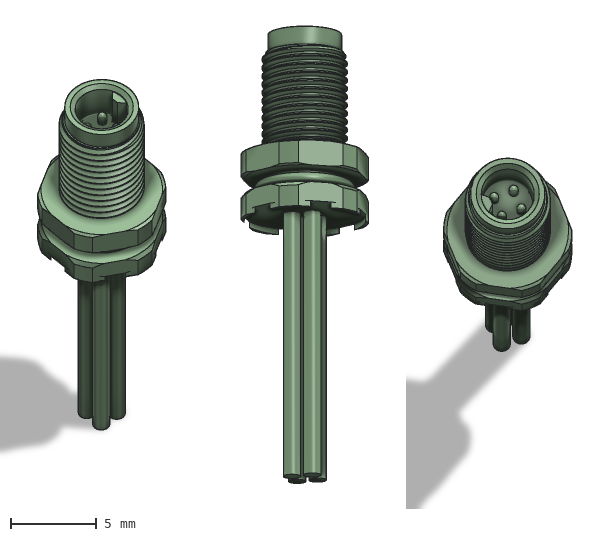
import cadquery as cq
import math

total_height = 26.7
flange_bottom = 15.49
hex_thickness = 1.5
flange_top = flange_bottom + hex_thickness
nut_top = 19.5
nut_bottom = nut_top - hex_thickness
nose_length = 1.1
thread_top = total_height - nose_length

across_flats = 7.0
corner_diameter = 7.5
hex_face_radius = 3.55
nut_chamfer_height = 0.08
flange_chamfer_height = 0.25

major_diameter = 5.0
major_radius = major_diameter / 2
thread_pitch = major_diameter / 10
core_radius = 2.25
thread_turns = 14
turns_above_top_crest = 2
crest_width = thread_pitch / 8
flank_angle = math.radians(30)
root_overlap = 0.05
lead_in_radius = 2.27
lead_in_height = 0.32
top_crest_height = 25.07

nose_radius = 2.15
socket_radius = 1.55
socket_depth = 2.27
socket_chamfer_radius = 1.85
socket_chamfer_depth = 0.2
socket_floor_fillet = 0.08

key_tip_y = 1.05
key_tip_half_width = 0.21
key_top_depth = 0.25

contact_offset = 0.61
pin_radius = 0.27
pin_embedment = 0.27
pin_tip_depth = 1.55
pin_dome_radius = 0.99 * pin_radius
wire_radius = 0.5

ring_section_radius = 0.4
ring_outer_radius = 2.96

recess_radius = 3.55
recess_depth = 0.35


def cylinder(radius, bottom, top):
    return cq.Workplane("XY").workplane(offset=bottom).circle(radius).extrude(top - bottom)


def revolve_profile(points):
    """Revolve an outline of (radius, height) points about the Z axis."""
    return cq.Workplane("XZ").polyline(points).close().revolve(360, (0, 0), (0, 1))


def hexagon(bottom, lower_chamfer, upper_chamfer):
    """Hexagon with flats facing +Y and -Y, corners turned round and faces coned."""
    top = bottom + hex_thickness
    corner_radius = corner_diameter / 2
    prism_diameter = across_flats / math.cos(math.pi / 6)
    prism = cq.Workplane("XY").workplane(offset=bottom).polygon(6, prism_diameter).extrude(hex_thickness)
    outline = [(0, bottom)]
    if lower_chamfer > 0:
        outline.append((hex_face_radius, bottom))
    outline += [
        (corner_radius, bottom + lower_chamfer),
        (corner_radius, top - upper_chamfer),
        (hex_face_radius, top),
        (0, top),
    ]
    return prism.intersect(revolve_profile(outline))


def flange():
    body = hexagon(flange_bottom, 0, flange_chamfer_height)
    return body.cut(cylinder(recess_radius, flange_bottom, flange_bottom + recess_depth))


def thread():
    """Right-hand V thread, trimmed by a lead-in cone at the top and starting inside the nut."""
    flank_rise = math.tan(flank_angle)
    root_radius = core_radius - root_overlap
    crest_half = crest_width / 2
    root_half = crest_half + (major_radius - root_radius) * flank_rise
    profile = (
        cq.Workplane("XZ")
        .moveTo(root_radius, -root_half)
        .lineTo(major_radius, -crest_half)
        .lineTo(major_radius, crest_half)
        .lineTo(root_radius, root_half)
        .close()
    )
    helix = cq.Wire.makeHelix(thread_pitch, thread_turns * thread_pitch, core_radius)
    ridge = profile.sweep(cq.Workplane(obj=helix), isFrenet=True)
    turns_below_top_crest = thread_turns - turns_above_top_crest
    start_height = top_crest_height - (turns_below_top_crest + 0.5) * thread_pitch
    ridge = ridge.translate((0, 0, start_height))
    cone_slope = (major_radius - lead_in_radius) / lead_in_height
    cone_bottom = thread_top - 2 * lead_in_height
    cone_top = thread_top + thread_pitch
    cone_bottom_radius = lead_in_radius + cone_slope * (thread_top - cone_bottom)
    cone_top_radius = lead_in_radius - cone_slope * (cone_top - thread_top)
    runout = revolve_profile([
        (cone_bottom_radius, cone_bottom),
        (cone_bottom_radius, cone_top),
        (cone_top_radius, cone_top),
    ])
    above_thread = cylinder(major_radius + thread_pitch, thread_top, total_height)
    return ridge.cut(runout).cut(above_thread)


def socket():
    """Space removed from the nose: a bore with a coned mouth, less the key rib."""
    floor = total_height - socket_depth
    mouth = total_height - socket_chamfer_depth
    space = revolve_profile([
        (0, floor),
        (socket_radius, floor),
        (socket_radius, mouth),
        (socket_chamfer_radius, total_height),
        (0, total_height),
    ])
    key_depth = nose_radius - key_tip_y
    key = (
        cq.Workplane("XY")
        .workplane(offset=floor)
        .moveTo(-key_tip_half_width, key_tip_y)
        .lineTo(key_tip_half_width, key_tip_y)
        .lineTo(key_tip_half_width + key_depth, nose_radius)
        .lineTo(-key_tip_half_width - key_depth, nose_radius)
        .close()
        .extrude(socket_depth - key_top_depth)
    )
    return space.cut(key).faces("<Z").edges().fillet(socket_floor_fillet)


def at_contacts(shape):
    """Copies of a shape at the four contact positions."""
    copies = cq.Workplane("XY")
    for x in (-contact_offset, contact_offset):
        for y in (-contact_offset, contact_offset):
            copies = copies.add(shape.translate((x, y, 0)))
    return copies.vals()


def pin():
    pin_top = total_height - pin_tip_depth
    pin_root = total_height - socket_depth - pin_embedment
    return cylinder(pin_radius, pin_root, pin_top).faces(">Z").edges().fillet(pin_dome_radius)


def sealing_ring():
    ring_radius = ring_outer_radius - ring_section_radius
    return (
        cq.Workplane("XZ")
        .center(ring_radius, flange_top + ring_section_radius)
        .circle(ring_section_radius)
        .revolve(360, (-ring_radius, 0), (-ring_radius, 1))
    )


barrel = cylinder(core_radius, flange_bottom + recess_depth, thread_top)
nose = cylinder(nose_radius, thread_top, total_height)
body = barrel.union(nose).union(thread())
body = body.union(hexagon(nut_bottom, nut_chamfer_height, nut_chamfer_height))
body = body.union(sealing_ring()).union(flange()).cut(socket())

wire = cylinder(wire_radius, 0, flange_top)
for contact_part in at_contacts(pin()) + at_contacts(wire):
    body = body.union(cq.Workplane(obj=contact_part))

result = body